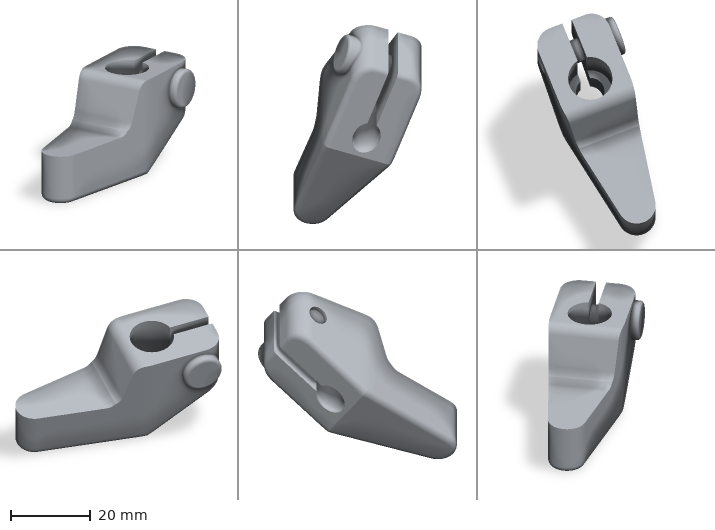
import cadquery as cq
import math


block_width = 19.05
block_height = 25.4
block_back = 15.875
block_corner_radius = 4.7625
underside_angle = math.radians(30)
underside_start = 4.6

arm_height = 12.75
tip_center = 31.75
tip_radius = 4.7625
taper_angle = math.radians(10)
taper_blend_radius = 25.4
bottom_fillet = 1.5875

step_angle = math.radians(20)
step_radius = 3.175
step_slope_bottom = 15.58
step_end = 15.35

counterbore_diameter = 11.1125
counterbore_depth = block_height / 2
bore_diameter = 7.14375
slot_width = 2.54

screw_inset = 6.35
screw_diameter = 6.0
screw_head_diameter = 10.0
screw_head_height = 6.0
screw_head_protrusion = 2.04
screw_head_fillet = 0.8
screw_hole_diameter = 5.1
screw_end_recess = 1.2

half_width = block_width / 2
tip_end = tip_center + tip_radius
climb_height = (block_back + underside_start) * math.tan(underside_angle)
screw_y = block_back - screw_inset
screw_z = block_height - screw_inset


def make_plan_body(bottom):
    """Prism from a bottom Z to the block top: straight block sides, tapered arm sides and a round tip."""
    tangent_x = tip_radius * math.cos(taper_angle)
    tangent_y = -tip_center - tip_radius * math.sin(taper_angle)
    taper_start_y = tangent_y + (half_width - tangent_x) / math.tan(taper_angle)
    body = (
        cq.Workplane("XY", origin=(0, 0, bottom))
        .moveTo(-half_width, block_back)
        .lineTo(half_width, block_back)
        .lineTo(half_width, taper_start_y)
        .lineTo(tangent_x, tangent_y)
        .threePointArc((0, -tip_end), (-tangent_x, tangent_y))
        .lineTo(-half_width, taper_start_y)
        .close()
        .extrude(block_height - bottom)
    )
    for x in (-half_width, half_width):
        taper_edge = cq.selectors.NearestToPointSelector((x, taper_start_y, block_height / 2))
        body = body.edges(taper_edge).fillet(taper_blend_radius)
    return body.edges("|Z and >Y").fillet(block_corner_radius)


def lower_crossing(center_a, center_b):
    """Lower crossing point of two step arcs of equal radius, center_b being toward -Y."""
    gap_y = center_b[0] - center_a[0]
    gap_z = center_b[1] - center_a[1]
    gap = math.hypot(gap_y, gap_z)
    reach = math.sqrt(step_radius**2 - (gap / 2) ** 2)
    middle_y = (center_a[0] + center_b[0]) / 2
    middle_z = (center_a[1] + center_b[1]) / 2
    return middle_y - reach * gap_z / gap, middle_z + reach * gap_y / gap


def make_side_prism():
    """Side outline in the YZ plane, extruded across the block width."""
    normal_y = -step_radius * math.cos(step_angle)
    normal_z = step_radius * math.sin(step_angle)

    top_round_y = -counterbore_diameter / 2
    slope_top = (top_round_y + normal_y, block_height - step_radius + normal_z)
    slope_drop = slope_top[1] - step_slope_bottom
    slope_bottom = (slope_top[0] - slope_drop * math.tan(step_angle), step_slope_bottom)

    upper_center = (slope_bottom[0] + normal_y, slope_bottom[1] + normal_z)
    lower_center = (-step_end, arm_height + step_radius)
    ridge = lower_crossing(upper_center, lower_center)

    return (
        cq.Workplane("YZ")
        .moveTo(block_back, block_height)
        .lineTo(top_round_y, block_height)
        .radiusArc(slope_top, -step_radius)
        .lineTo(*slope_bottom)
        .radiusArc(ridge, step_radius)
        .radiusArc((-step_end, arm_height), step_radius)
        .lineTo(-tip_end, arm_height)
        .lineTo(-tip_end, 0)
        .lineTo(block_back, 0)
        .close()
        .extrude(half_width, both=True)
    )


def cylinder_x(diameter, start_x, end_x):
    """Cylinder on the screw axis between two X positions."""
    plane = cq.Plane(origin=(start_x, screw_y, screw_z), xDir=(0, 1, 0), normal=(1, 0, 0))
    return cq.Workplane(plane).circle(diameter / 2).extrude(end_x - start_x)


def make_rounded_blank():
    """Body with a flat and a climbing underside, each rounded along its rim, meeting in a sharp bend."""
    flat_body = make_plan_body(0).faces("<Z").edges().fillet(bottom_fillet)

    climb_low = climb_height - (tip_end + block_back) * math.tan(underside_angle)
    above_climb = (
        cq.Workplane("YZ")
        .moveTo(block_back, climb_height)
        .lineTo(block_back, block_height)
        .lineTo(-tip_end, block_height)
        .lineTo(-tip_end, climb_low)
        .close()
        .extrude(half_width, both=True)
    )
    climbing_body = make_plan_body(climb_low).intersect(above_climb)
    climbing_face = cq.selectors.NearestToPointSelector((0, -underside_start, 0))
    climbing_body = climbing_body.faces(climbing_face).edges().fillet(bottom_fillet)
    return flat_body.intersect(climbing_body)


def cut_bore_and_slot(body):
    """Counterbored through hole, opened to the back face by the clamping slot."""
    counterbore = (
        cq.Workplane("XY", origin=(0, 0, block_height))
        .circle(counterbore_diameter / 2)
        .extrude(-counterbore_depth)
    )
    bore = cq.Workplane("XY").circle(bore_diameter / 2).extrude(block_height)
    slot = cq.Workplane("XY").box(slot_width, block_back, block_height, (True, False, False))
    return body.cut(counterbore).cut(bore).cut(slot)


def make_screw():
    """Cap screw with its head partly sunk in the +X side."""
    head_end = half_width + screw_head_protrusion
    head_start = head_end - screw_head_height
    head = cylinder_x(screw_head_diameter, head_start, head_end).faces(">X").edges().fillet(screw_head_fillet)
    shank = cylinder_x(screw_diameter, screw_end_recess - half_width, head_start)
    return head.union(shank)


def cut_screw_hole(body):
    """Shallow hole in the -X side that stops at the end of the screw."""
    return body.cut(cylinder_x(screw_hole_diameter, -half_width, screw_end_recess - half_width))


body = make_rounded_blank().intersect(make_side_prism())
body = cut_bore_and_slot(body)
body = cut_screw_hole(body)
result = body.union(make_screw())